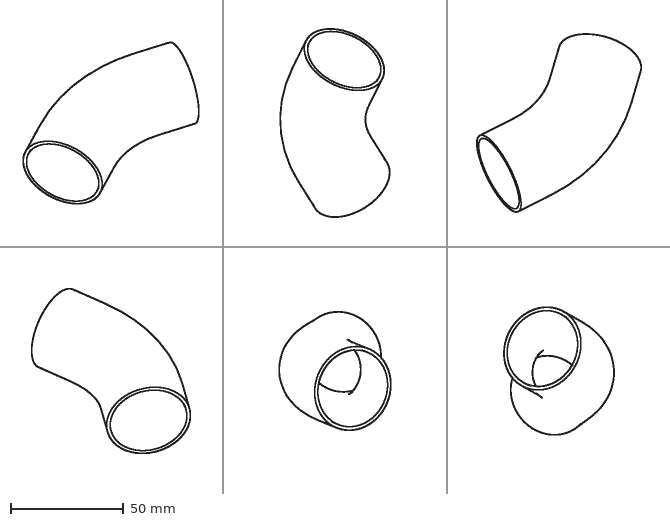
import cadquery as cq
import math

OUTER_DIAMETER = 38.1
INNER_DIAMETER = 34.8

BEND_ANGLE = 45.0
BEND_RADIUS = 1.5 * OUTER_DIAMETER
CENTRE_TO_END = 41.275

STRAIGHT_LENGTH = CENTRE_TO_END - BEND_RADIUS * math.tan(math.radians(BEND_ANGLE / 2))


def point_on_bend(angle):
    """Centreline point after turning by angle (degrees) from +Y towards +X."""
    turn = math.radians(angle)
    x = BEND_RADIUS * (1 - math.cos(turn))
    y = STRAIGHT_LENGTH + BEND_RADIUS * math.sin(turn)
    return (x, y)


def elbow_centreline():
    """Straight inlet along +Y, arc towards +X, then straight outlet."""
    turn = math.radians(BEND_ANGLE)
    bend_end_x, bend_end_y = point_on_bend(BEND_ANGLE)
    outlet = (
        bend_end_x + STRAIGHT_LENGTH * math.sin(turn),
        bend_end_y + STRAIGHT_LENGTH * math.cos(turn),
    )
    return (
        cq.Workplane("XY")
        .moveTo(0, 0)
        .lineTo(0, STRAIGHT_LENGTH)
        .threePointArc(point_on_bend(BEND_ANGLE / 2), (bend_end_x, bend_end_y))
        .lineTo(*outlet)
    )


def tube_elbow():
    """Sweep the tube's ring section from the inlet face at Y = 0 along the centreline."""
    ring = cq.Workplane("XZ").circle(OUTER_DIAMETER / 2).circle(INNER_DIAMETER / 2)
    return ring.sweep(elbow_centreline())


result = tube_elbow()